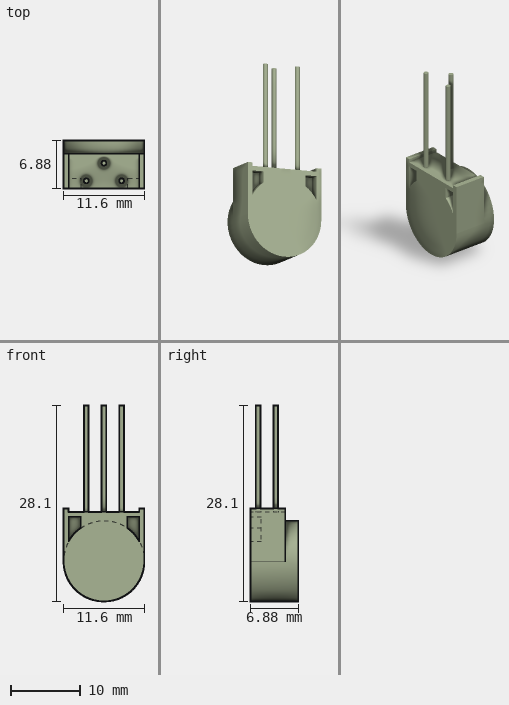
import cadquery as cq

width = 11.6
total_depth = 6.88
total_height = 28.07
radius = width / 2

housing_depth = 5.0
housing_height = 13.33
housing_top = housing_height - radius
lip_width = 0.75
lip_height = 0.5
floor_z = housing_top - lip_height

pocket_width = 1.7
pocket_depth = 1.5
pocket_drop = 0.67
pocket_top = floor_z - pocket_drop
pocket_center_x = radius - lip_width - pocket_width / 2

pin_diameter = 0.7
pin_pitch = 2.53
front_pin_y = 1.1
pin_top = total_height - radius
pin_positions = [
    (-pin_pitch, front_pin_y),
    (0, front_pin_y + pin_pitch),
    (pin_pitch, front_pin_y),
]


def cylinder_along_y(length):
    """Cylinder on the Y axis, from the front face (Y = 0) towards +Y."""
    return cq.Workplane("XZ").circle(radius).extrude(-length)


def make_body():
    """Full-depth drum joined to the flat-sided upper housing."""
    upper = cq.Workplane("XY").box(
        width, housing_depth, housing_top, centered=(True, False, False)
    )
    return cylinder_along_y(total_depth).union(upper)


def make_top_recess():
    """Shallow channel that leaves a lip along each side of the top."""
    return (
        cq.Workplane("XY")
        .workplane(offset=floor_z)
        .rect(width - 2 * lip_width, 2 * housing_depth)
        .extrude(lip_height)
    )


def make_pockets():
    """Two blind pockets whose lower edge follows the drum."""
    blocks = (
        cq.Workplane("XY")
        .pushPoints([(-pocket_center_x, 0), (pocket_center_x, 0)])
        .box(pocket_width, pocket_depth, pocket_top, centered=(True, False, False))
    )
    return blocks.cut(cylinder_along_y(total_depth))


def make_pins():
    """Three staggered round pins standing on the recessed top."""
    return (
        cq.Workplane("XY")
        .pushPoints(pin_positions)
        .circle(pin_diameter / 2)
        .extrude(pin_top)
    )


body = make_body().cut(make_top_recess()).cut(make_pockets())
result = body.union(make_pins())